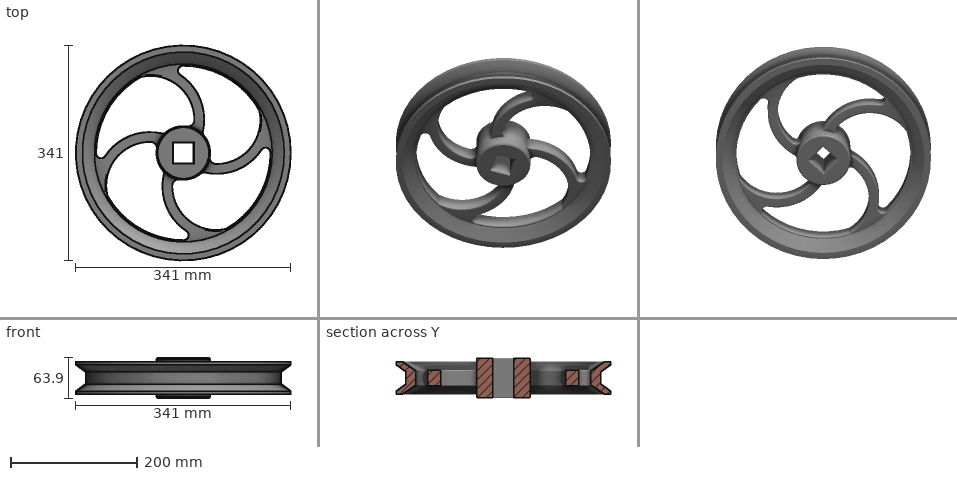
import cadquery as cq
import math

axis = (0, 0)

rim_radius = 170.5
rim_height = 52.0
rim_flange_height = 5.2
groove_radius = 155.0
groove_floor_height = 19.2
rim_mouth_radius = 160.0
web_radius = 141.0

hub_radius = 42.7
hub_height = 63.93
hub_edge_chamfer = 2.0
bore_width = 32.0
bore_edge_chamfer = 1.0

web_height = 26.0
window_count = 4
window_outer_radius = 138.0
window_inner_radius = hub_radius - 0.2
window_root_fillet = 10.0
window_tip_fillet = 7.7
window_edge_fillet = 2.0

spoke_center_distance = 74.0
spoke_center_angle = 134.3
spoke_inner_radius = 69.0
spoke_outer_radius = 85.0


def make_rim_and_web():
    """Revolve the half section of the rim together with a solid web."""
    rim_top = rim_height / 2
    flange_bottom = rim_top - rim_flange_height
    groove_top = groove_floor_height / 2
    web_top = web_height / 2
    upper = [
        (0, web_top),
        (web_radius, web_top),
        (rim_mouth_radius, rim_top),
        (rim_radius, rim_top),
        (rim_radius, flange_bottom),
        (groove_radius, groove_top),
    ]
    lower = [(radius, -z) for radius, z in reversed(upper)]
    return cq.Workplane("XZ").polyline(upper + lower).close().revolve(360, (0, 0), (0, 1))


def point_at(radius, angle, center=axis):
    """Point at a radius and an angle in degrees about a centre."""
    turn = math.radians(angle)
    return (center[0] + radius * math.cos(turn), center[1] + radius * math.sin(turn))


def crossing(arc_radius, center_angle, ring_radius):
    """Point, clockwise of the arc's centre, where a spoke arc crosses a ring about the axis."""
    cosine = (spoke_center_distance**2 + ring_radius**2 - arc_radius**2) / (
        2 * spoke_center_distance * ring_radius
    )
    return point_at(ring_radius, center_angle - math.degrees(math.acos(cosine)))


def direction(start, end):
    """Angle in degrees of the line from one point to another."""
    return math.degrees(math.atan2(end[1] - start[1], end[0] - start[0]))


def arc_middle(start, end, radius, center):
    """Middle of the shorter arc between two points of a circle."""
    chord_middle = ((start[0] + end[0]) / 2, (start[1] + end[1]) / 2)
    return point_at(radius, direction(center, chord_middle), center)


def make_window():
    """Opening between two neighbouring spokes, from inside the hub out to the rim."""
    left_angle = spoke_center_angle
    right_angle = spoke_center_angle - 360 / window_count
    left_center = point_at(spoke_center_distance, left_angle)
    right_center = point_at(spoke_center_distance, right_angle)

    rim_corner = crossing(spoke_inner_radius, right_angle, window_outer_radius)

    tip_center = crossing(
        spoke_outer_radius + window_tip_fillet, left_angle, window_outer_radius - window_tip_fillet
    )
    tip_start = point_at(spoke_outer_radius, direction(left_center, tip_center), left_center)
    tip_end = point_at(window_outer_radius, direction(axis, tip_center))

    root_ring = window_inner_radius + window_root_fillet
    right_root_center = crossing(spoke_inner_radius - window_root_fillet, right_angle, root_ring)
    right_root_start = point_at(
        spoke_inner_radius, direction(right_center, right_root_center), right_center
    )
    right_root_end = point_at(window_inner_radius, direction(axis, right_root_center))
    left_root_center = crossing(spoke_outer_radius + window_root_fillet, left_angle, root_ring)
    left_root_start = point_at(window_inner_radius, direction(axis, left_root_center))
    left_root_end = point_at(spoke_outer_radius, direction(left_center, left_root_center), left_center)

    arcs = [
        (left_root_end, tip_start, spoke_outer_radius, left_center),
        (tip_start, tip_end, window_tip_fillet, tip_center),
        (tip_end, rim_corner, window_outer_radius, axis),
        (rim_corner, right_root_start, spoke_inner_radius, right_center),
        (right_root_start, right_root_end, window_root_fillet, right_root_center),
        (right_root_end, left_root_start, window_inner_radius, axis),
        (left_root_start, left_root_end, window_root_fillet, left_root_center),
    ]
    outline = cq.Workplane("XY", origin=(0, 0, -rim_height / 2)).moveTo(*left_root_end)
    for start, end, radius, center in arcs:
        outline = outline.threePointArc(arc_middle(start, end, radius, center), end)
    return outline.close().extrude(rim_height)


def make_hub():
    """Cylinder with chamfered ends."""
    hub = cq.Workplane("XY", origin=(0, 0, -hub_height / 2)).circle(hub_radius).extrude(hub_height)
    return hub.faces("<Z or >Z").edges().chamfer(hub_edge_chamfer)


def make_bore():
    """Square bore through the hub, flared by a chamfer at each mouth."""
    bottom = cq.Workplane("XY", origin=(0, 0, -hub_height / 2))
    bore = bottom.rect(bore_width, bore_width).extrude(hub_height)
    mouth_width = bore_width + 2 * bore_edge_chamfer
    flare = (
        bottom.rect(mouth_width, mouth_width)
        .workplane(offset=bore_edge_chamfer)
        .rect(bore_width, bore_width)
        .loft(ruled=True)
    )
    return bore.union(flare).union(flare.mirror("XY"))


def is_window_edge(edge):
    """True for the edges around the windows on either face of the web."""
    tolerance = 0.01
    middle = edge.positionAt(0.5)
    on_web_face = abs(abs(middle.z) - web_height / 2) < tolerance
    return on_web_face and math.hypot(middle.x, middle.y) < web_radius - tolerance


def make_wheel():
    """Rim and spokes with rounded edges, joined to the hub."""
    window = make_window()
    wheel = make_rim_and_web()
    for index in range(window_count):
        angle = index * 360 / window_count
        wheel = wheel.cut(window.rotate((0, 0, 0), (0, 0, 1), angle))
    window_edges = [edge for edge in wheel.edges().vals() if is_window_edge(edge)]
    wheel = wheel.newObject(window_edges).fillet(window_edge_fillet)
    return wheel.union(make_hub())


result = make_wheel().cut(make_bore())